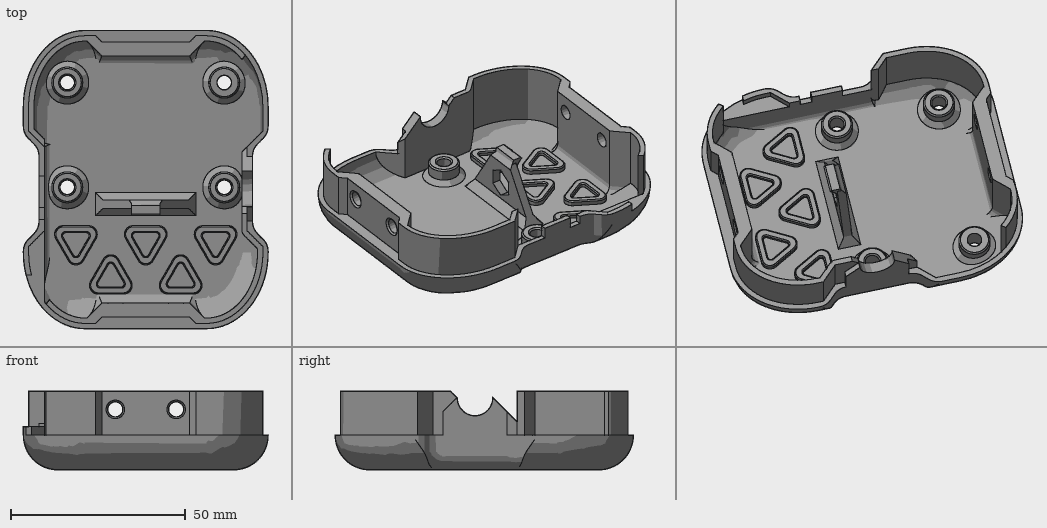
import cadquery as cq
import math

total_width = 70.0
total_length = 85.3
total_height = 22.5
rim_height = 10.0
skin = 1.5
corner_center_x = 17.4
corner_center_y = 20.9

waist_half_width = 30.5
waist_center_y = -2.65
waist_half_span = 15.9
waist_outer_fillet = 5.0
waist_inner_fillet = 2.4
waist_foot_fillet = 3.0

gap_corner_x = 33.8

block_half_width = 12.5
block_outer_y = 39.3
block_inner_y = 35.3
block_foot_fillet = 2.8
end_screw_x = 8.7
end_screw_z = 17.3
end_screw_radius = 2.1
end_screw_chamfer = 0.5

seat_center_z = 20.55
seat_radius = 5.0
tab_half_width = 9.2

stop_y_range = (-8.0, 1.0)
stop_top = 13.3
lip_y_range = (-27.2, -11.4)
lip_top = 12.4

boss_x = 22.4
corner_boss_y = 27.7
waist_boss_y = -2.2
boss_radius = 4.4
boss_top = 6.2
boss_top_chamfer = 0.4
boss_foot_width = 1.7
boss_foot_height = 1.3
boss_hole_radius = 2.05
boss_hole_chamfer = 0.4

button_pitch = 10.0
upper_button_y = -17.7
lower_button_y = -28.15
button_height = 1.5
button_pocket_depth = 1.2
ring_side = 7.25
ring_round = 2.5
pocket_side = 5.9
pocket_round = 0.85
button_chamfer = 0.3

plate_front_y = -8.3
plate_back_y = -5.8
foot_spread = 2.05
foot_height = 2.8
foot_half_width = 14.3
hook_half_width = 4.1
shoulder_z = 17.7
hook_top = 19.0
hook_root_z = 14.75
hook_lip = 0.4
nut_flats = 7.5
nut_center_z = 9.7

half_width = total_width / 2
half_length = total_length / 2
floor_z = skin
tolerance = 0.01
diagonal = math.sqrt(2)
reach = total_length


def box(x_range, y_range, z_range):
    """Axis-aligned block between the given limits."""
    size = [limits[1] - limits[0] for limits in (x_range, y_range, z_range)]
    return cq.Workplane("XY").box(*size, centered=False).translate((x_range[0], y_range[0], z_range[0]))


def prism_along_x(points, x_start, x_end):
    """Extrude a (y, z) outline between two X positions."""
    return cq.Workplane("YZ").workplane(offset=x_start).polyline(points).close().extrude(x_end - x_start)


def prism_along_z(points, z_start, z_end):
    """Extrude an (x, y) outline between two heights."""
    return cq.Workplane("XY").workplane(offset=z_start).polyline(points).close().extrude(z_end - z_start)


def rounded_block(inset, z_start):
    """Block with quarter-ellipse corners, set in from the tray's outline."""
    x = half_width - inset
    y = half_length - inset
    radii = (x - corner_center_x, y - corner_center_y)
    return (
        cq.Workplane("XY")
        .workplane(offset=z_start)
        .moveTo(x, -corner_center_y)
        .lineTo(x, corner_center_y)
        .ellipseArc(*radii, 0, 90)
        .lineTo(-corner_center_x, y)
        .ellipseArc(*radii, 90, 180)
        .lineTo(-x, -corner_center_y)
        .ellipseArc(*radii, 180, 270)
        .lineTo(corner_center_x, -y)
        .ellipseArc(*radii, 270, 360)
        .close()
        .extrude(total_height - z_start)
    )


def notch_end_offset(inset, x):
    """Y distance from the waist centre to the 45 degree end of the inset notch at a given X."""
    return waist_half_span + inset * diagonal - half_width + x


def waist_prism(inset, z_start, fillet=0, left_open=False):
    """Oversized prism with a notch in each long side; left_open carries the -X notch on to -Y."""
    x_out = half_width + reach / 4
    x_in = waist_half_width - inset
    y_out = notch_end_offset(inset, x_out)
    y_in = notch_end_offset(inset, x_in)
    notch = [(x_out, -y_out), (x_in, -y_in), (x_in, y_in), (x_out, y_out)]
    right_side = [(x, waist_center_y + y) for x, y in notch]
    left_side = [(-x, y) for x, y in reversed(right_side)]
    ends = [(x_out, reach), (-x_out, reach)]
    if left_open:
        left_side = left_side[:2] + [(-x_in, -reach), (x_out, -reach)]
    else:
        left_side += [(-x_out, -reach), (x_out, -reach)]
    prism = prism_along_z(right_side + ends + left_side, z_start, total_height)
    if fillet == 0:
        return prism
    between = cq.selectors.BoxSelector((-x_in - skin, -reach / 2, 0), (x_in + skin, reach / 2, total_height))
    return prism.edges("|Z").edges(between).fillet(fillet)


def outline_prism(inset, fillet=0):
    """Full-height prism of the outline, set in by the given amount."""
    return rounded_block(inset, 0).intersect(waist_prism(inset, 0, fillet))


def round_bottom(solid, radius, max_x=reach):
    """Round the bottom edges whose middles lie below max_x."""
    picked = cq.selectors.BoxSelector((-2 * reach, -2 * reach, 0), (max_x, 2 * reach, rim_height))
    return solid.faces("<Z").edges(picked).fillet(radius)


notch_y = [waist_center_y + side * waist_half_span for side in (-1, 1)]
full_outline = outline_prism(0, waist_outer_fillet)
for x in (-half_width, half_width):
    for y in notch_y:
        corner = cq.selectors.BoxSelector((x - skin, y - skin, 0), (x + skin, y + skin, total_height))
        full_outline = full_outline.edges("|Z").edges(corner).fillet(waist_outer_fillet)

rounded_body = round_bottom(rounded_block(0, 0), rim_height).intersect(
    round_bottom(waist_prism(0, 0, waist_outer_fillet), waist_outer_fillet)
)
rounded_body = rounded_body.intersect(full_outline)
cavity = round_bottom(rounded_block(skin, floor_z), rim_height - skin).intersect(
    round_bottom(waist_prism(skin, floor_z, left_open=True), waist_foot_fillet, max_x=-corner_center_x)
)
below_rim = box((-reach, reach), (-reach, reach), (0, rim_height))
tray = rounded_body.intersect(below_rim).cut(cavity)

wall_outside = outline_prism(skin)
wall_inside = outline_prism(2 * skin, waist_inner_fillet)


def between_end_blocks(narrow_y, z_start):
    """Oversized prism leaving out a block at each Y end that widens at 45 degrees away from narrow_y."""
    wide = block_half_width + reach - narrow_y
    upper_end = [(wide, reach), (block_half_width, narrow_y), (-block_half_width, narrow_y), (-wide, reach)]
    lower_end = [(-x, -y) for x, y in upper_end]
    left_point = [(-2 * reach, 0)]
    right_point = [(2 * reach, 0)]
    return prism_along_z(upper_end + left_point + lower_end + right_point, z_start, total_height)


room = round_bottom(between_end_blocks(block_inner_y, floor_z), block_foot_fillet)
walls = wall_outside.cut(wall_inside.intersect(room)).intersect(rounded_body)
walls = walls.intersect(below_rim.union(between_end_blocks(block_outer_y, 0)))

left_edge = skin - waist_half_width
left_wall_end_y = waist_center_y + notch_end_offset(skin, -left_edge)
left_gap = [
    (-corner_center_x, -corner_center_y),
    (-gap_corner_x, -half_length),
    (-reach, -half_length),
    (-reach, left_wall_end_y),
    (left_edge, left_wall_end_y),
    (left_edge, waist_center_y + waist_half_span),
    (-corner_center_x, waist_center_y + waist_half_span),
]
gap_inner_x = waist_half_width - 3 * skin
right_gap = [
    (corner_center_x, corner_center_y),
    (gap_corner_x, half_length),
    (reach, half_length),
    (reach, waist_center_y + notch_end_offset(skin, reach)),
    (gap_inner_x, waist_center_y + notch_end_offset(skin, gap_inner_x)),
]
for gap in (left_gap, right_gap):
    walls = walls.cut(prism_along_z(gap, floor_z, total_height))

rim_band = full_outline.cut(wall_outside)
stop = rim_band.intersect(box((-reach, 0), stop_y_range, (0, stop_top)))
lip = rim_band.intersect(box((-reach, 0), lip_y_range, (0, lip_top)))
above_rim = box((-reach, reach), (-reach, reach), (rim_height, total_height))
tab_slope = [
    (waist_center_y - waist_half_span, rim_height),
    (waist_center_y + waist_half_span, rim_height),
    (waist_center_y, rim_height + waist_half_span),
]
tab = rim_band.intersect(prism_along_x(tab_slope, 0, reach)).intersect(
    box((0, reach), (waist_center_y - tab_half_width, waist_center_y + tab_half_width), (0, total_height))
)
raised_edges = stop.union(lip).union(tab).intersect(above_rim)

plate_base_z = floor_z + foot_height
plate_half_width = foot_half_width - foot_spread
half_face = [
    (foot_half_width, floor_z),
    (plate_half_width, plate_base_z),
    (hook_half_width, shoulder_z),
    (hook_half_width, hook_top),
]
face = half_face + [(-x, z) for x, z in reversed(half_face)]
foot_front_y = plate_front_y - foot_spread
foot_back_y = plate_back_y + foot_spread
bracket_side = [
    (foot_back_y, floor_z),
    (plate_back_y, plate_base_z),
    (plate_back_y, hook_top),
    (plate_front_y, hook_top),
    (plate_front_y, plate_base_z),
    (foot_front_y, floor_z),
]
bracket = (
    cq.Workplane("XZ").polyline(face).close().extrude(reach, both=True)
    .intersect(prism_along_x(bracket_side, -reach, reach))
)
hook = (
    cq.Workplane("YZ")
    .moveTo(plate_front_y, hook_root_z)
    .lineTo(plate_front_y, hook_top)
    .lineTo(foot_front_y + hook_lip, hook_top)
    .lineTo(foot_front_y, hook_top - hook_lip)
    .radiusArc((plate_front_y, hook_root_z), seat_radius)
    .close()
    .extrude(hook_half_width, both=True)
)
nut_points_diameter = 2 * nut_flats / math.sqrt(3)
nut_hole = (
    cq.Workplane("XZ")
    .center(0, nut_center_z)
    .transformed(rotate=(0, 0, 30))
    .polygon(6, nut_points_diameter)
    .extrude(-foot_front_y)
)
bracket = bracket.union(hook).cut(nut_hole)

boss_post = (
    cq.Workplane("XY").workplane(offset=floor_z / 2).circle(boss_radius).extrude(boss_top - floor_z / 2)
    .faces(">Z").edges().chamfer(boss_top_chamfer)
)
boss_foot = cq.Workplane(
    cq.Solid.makeCone(
        boss_radius + boss_foot_width, boss_radius, boss_foot_height, pnt=cq.Vector(0, 0, floor_z)
    )
)
boss = boss_post.union(boss_foot)
boss_hole = cq.Workplane("XY").circle(boss_hole_radius).extrude(boss_top)
boss_hole_mouth = cq.Workplane(
    cq.Solid.makeCone(
        boss_hole_radius,
        boss_hole_radius + boss_hole_chamfer,
        boss_hole_chamfer,
        pnt=cq.Vector(0, 0, boss_top - boss_hole_chamfer),
    )
)
chamfered_boss_hole = boss_hole.union(boss_hole_mouth)


def add_corner_boss(body, x, y):
    """Add a boss standing on the curved corner; its sloped foot follows the curve."""
    body = body.union(boss_post.translate((x, y, 0)))
    span = boss_radius + boss_foot_width / 2
    foot_zone = cq.selectors.BoxSelector(
        (x - span, y - span, floor_z / 2), (x + span, y + span, boss_top / 2)
    )

    def on_post(edge):
        return all(abs(math.hypot(v.X - x, v.Y - y) - boss_radius) < tolerance for v in edge.Vertices())

    foot_edges = body.edges(foot_zone).filter(on_post)
    return foot_edges.chamfer(boss_foot_width, boss_foot_height)


def rounded_triangle(side, corner_round, height):
    """Prism of an equilateral triangle pointing to -Y, grown outwards by a corner radius."""
    circumscribed = 2 * side / math.sqrt(3)
    return (
        cq.Workplane("XY").transformed(rotate=(0, 0, -90)).polygon(3, circumscribed)
        .offset2D(corner_round).extrude(height)
    )


ring = rounded_triangle(ring_side, ring_round, button_height)
pocket = rounded_triangle(pocket_side, pocket_round, button_pocket_depth)
pocket = pocket.translate((0, 0, button_height - button_pocket_depth))
ring = ring.cut(pocket).faces(">Z").edges().chamfer(button_chamfer)
ring = ring.translate((0, 0, floor_z))
buttons = [ring.translate((i * 2 * button_pitch, upper_button_y, 0)) for i in (-1, 0, 1)]
turned_ring = ring.rotate((0, 0, 0), (0, 0, 1), 180)
buttons += [turned_ring.translate((i * button_pitch, lower_button_y, 0)) for i in (-1, 1)]

seat = (
    cq.Workplane("YZ").workplane(offset=-foot_half_width).center(waist_center_y, seat_center_z)
    .circle(seat_radius).extrude(reach)
)
mouth = [
    (waist_center_y + waist_half_span, rim_height),
    (waist_center_y + seat_radius, rim_height + waist_half_span - seat_radius),
    (waist_center_y - seat_radius, seat_center_z),
    (waist_center_y - seat_radius - total_height + seat_center_z, total_height),
    (waist_center_y + waist_half_span, total_height),
]
seat_mouth = prism_along_x(mouth, gap_inner_x, reach)


def end_screw_hole(x):
    """Hole through the +Y screw block, chamfered on the outside."""
    hole = cq.Solid.makeCylinder(
        end_screw_radius, reach, cq.Vector(x, corner_center_y, end_screw_z), cq.Vector(0, 1, 0)
    )
    chamfer = cq.Solid.makeCone(
        end_screw_radius,
        end_screw_radius + end_screw_chamfer,
        end_screw_chamfer,
        cq.Vector(x, block_outer_y - end_screw_chamfer, end_screw_z),
        cq.Vector(0, 1, 0),
    )
    return cq.Workplane(hole).union(cq.Workplane(chamfer))


def both_ends(solid):
    """The solid together with its mirror image at the -Y end."""
    return solid.union(solid.mirror("XZ"))


result = tray
for x in (-boss_x, boss_x):
    result = add_corner_boss(result, x, corner_boss_y)
result = result.union(walls).union(raised_edges).union(bracket)
for x in (-boss_x, boss_x):
    result = result.union(boss.translate((x, waist_boss_y, 0)))
for button in buttons:
    result = result.union(button)
result = result.cut(seat).cut(seat_mouth)
for x in (-end_screw_x, end_screw_x):
    result = result.cut(both_ends(end_screw_hole(x)))
for x in (-boss_x, boss_x):
    result = result.cut(chamfered_boss_hole.translate((x, waist_boss_y, 0)))
result = result.cut(chamfered_boss_hole.translate((-boss_x, corner_boss_y, 0)))
result = result.cut(boss_hole.translate((boss_x, corner_boss_y, 0)))